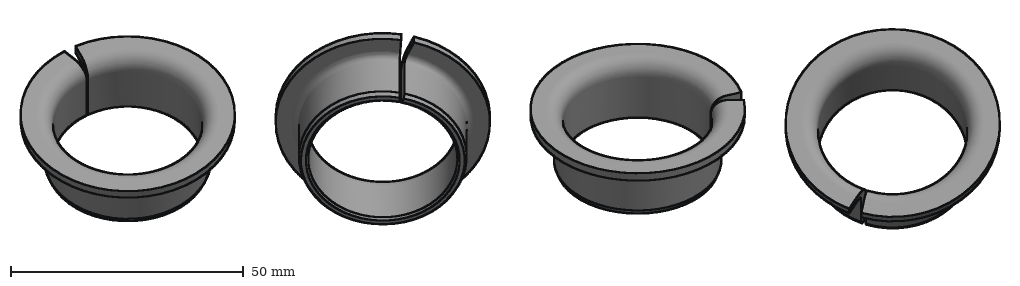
import cadquery as cq
import math

bore_radius = 16.0
wall = 2.0
flange_radius = 23.0
height = 15.0
bend_outer_radius = 1.5
lead_in_length = 1.2
lead_in_angle = 20.0
bore_chamfer = 0.5
split_half_angle = 10.0
split_apex_radius = 15.0
rim_overshoot = 2.0

sleeve_radius = bore_radius + wall
flange_underside = height - wall
bend_inner_radius = bend_outer_radius + wall
bend_centre_radius = sleeve_radius + bend_outer_radius
bend_centre_height = flange_underside - bend_outer_radius
lead_in_depth = lead_in_length * math.tan(math.radians(lead_in_angle))


def bend_point(radius):
    """Middle of a quarter bend (r, z) with the given radius about the common bend centre."""
    offset = radius * math.sqrt(0.5)
    return (bend_centre_radius - offset, bend_centre_height + offset)


def flanged_sleeve():
    """Revolve the (r, z) section of the sleeve and its rolled-out flange about Z.

    The half turn puts the seam of the revolved faces on the -X side, where the split removes it.
    """
    section = (
        cq.Workplane("XZ")
        .moveTo(bore_radius + bore_chamfer, 0)
        .lineTo(sleeve_radius - lead_in_depth, 0)
        .lineTo(sleeve_radius, lead_in_length)
        .lineTo(sleeve_radius, bend_centre_height)
        .threePointArc(bend_point(bend_outer_radius), (bend_centre_radius, flange_underside))
        .lineTo(flange_radius, flange_underside)
        .lineTo(flange_radius, height)
        .lineTo(bend_centre_radius, height)
        .threePointArc(bend_point(bend_inner_radius), (bore_radius, bend_centre_height))
        .lineTo(bore_radius, bore_chamfer)
        .close()
    )
    sleeve = section.revolve(360, (0, 0, 0), (0, 1, 0))
    return sleeve.rotate((0, 0, 0), (0, 0, 1), 180)


def split_wedge():
    """Full-height wedge on the -X side, opening outwards past the flange rim."""
    wedge_length = flange_radius + rim_overshoot - split_apex_radius
    half_width = wedge_length * math.tan(math.radians(split_half_angle))
    mouth_x = -(split_apex_radius + wedge_length)
    return (
        cq.Workplane("XY")
        .polyline([(-split_apex_radius, 0), (mouth_x, half_width), (mouth_x, -half_width)])
        .close()
        .extrude(height)
    )


result = flanged_sleeve().cut(split_wedge())